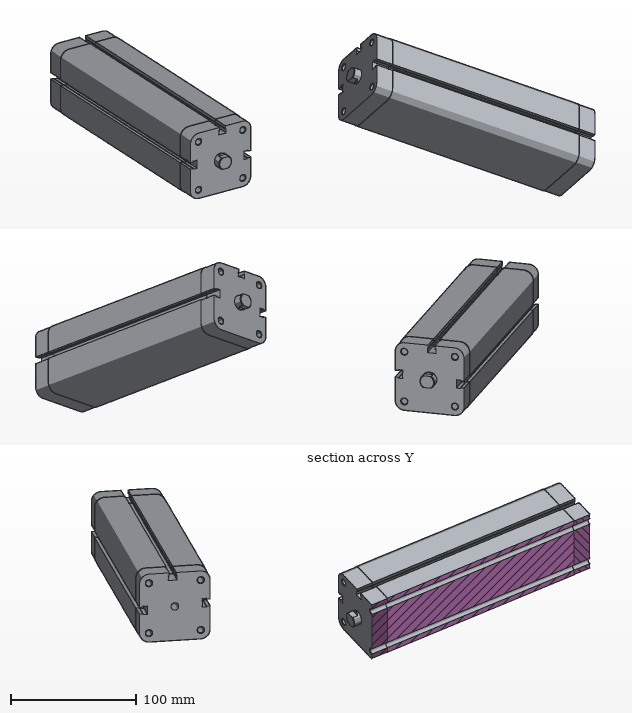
import cadquery as cq

total_length = 212.5
rod_reach = 7.0
cap_length = 14.9
body_length = total_length - rod_reach
barrel_length = body_length - 2 * cap_length

barrel_width = 58.0
cap_width = 57.4
corner_radius = 8.3
cap_corner_radius = corner_radius - (barrel_width - cap_width) / 2

slot_offset = 1.7
slot_step = 25.7
slot_undercut = 0.6
barrel_slot_width = 5.3
barrel_slot_floor = 22.7
cap_slot_width = 5.7
cap_slot_floor = 22.3
slot_turns = (0, 90, 180)

bolt_offset = 21.0
bolt_diameter = 5.0
bolt_chamfer = 0.5
center_hole_diameter = 6.2

rod_diameter = 12.1
rod_flat_width = 10.0
rod_collar_length = 1.3
rod_shoulder_length = 0.8
rod_chamfer = 0.53


def slot_cutter(turn, mouth_width, floor):
    """Full-length stepped slot in the -Y side, turned about X to another side."""
    side = barrel_width / 2
    mouth_half = mouth_width / 2
    floor_half = mouth_half + slot_undercut
    outline = [
        (-side, mouth_half),
        (-slot_step, mouth_half),
        (-slot_step, floor_half),
        (-floor, floor_half),
        (-floor, -floor_half),
        (-slot_step, -floor_half),
        (-slot_step, -mouth_half),
        (-side, -mouth_half),
    ]
    slot = cq.Workplane("YZ", origin=(0, 0, slot_offset)).polyline(outline).close().extrude(body_length)
    return slot.rotate((0, 0, 0), (1, 0, 0), -turn)


def profile_block(start, length, width, radius, slot_width, slot_floor):
    """Rounded square block with the side slots and the four bolt holes."""
    block = (
        cq.Workplane("YZ", origin=(start, 0, 0))
        .rect(width, width)
        .extrude(length)
        .edges("|X")
        .fillet(radius)
    )
    for turn in slot_turns:
        block = block.cut(slot_cutter(turn, slot_width, slot_floor))
    bolts = (
        cq.Workplane("YZ", origin=(start, 0, 0))
        .rect(2 * bolt_offset, 2 * bolt_offset, forConstruction=True)
        .vertices()
        .circle(bolt_diameter / 2)
        .extrude(length)
    )
    return block.cut(bolts)


def make_barrel():
    """Barrel between the two caps."""
    return profile_block(
        cap_length, barrel_length, barrel_width, corner_radius, barrel_slot_width, barrel_slot_floor
    )


def make_cap(start, outer_face):
    """End cap whose bolt holes are chamfered on the outer face."""
    cap = profile_block(
        start, cap_length, cap_width, cap_corner_radius, cap_slot_width, cap_slot_floor
    )
    bolt_rims = cap.faces(outer_face).edges(cq.selectors.RadiusNthSelector(0))
    return bolt_rims.chamfer(bolt_chamfer)


def make_rear_cap():
    """Rear cap with a centre hole that ends at the barrel."""
    center_hole = cq.Workplane("YZ").circle(center_hole_diameter / 2).extrude(cap_length)
    return make_cap(0, "<X").cut(center_hole)


def make_rod():
    """Rod end standing on the front cap: a round collar, then two flats with slanted shoulders."""
    round_bar = (
        cq.Workplane("YZ", origin=(body_length, 0, 0))
        .circle(rod_diameter / 2)
        .extrude(rod_reach)
        .faces(">X")
        .chamfer(rod_chamfer)
    )
    collar_end = body_length + rod_collar_length
    flat_start = collar_end + rod_shoulder_length
    rod_radius = rod_diameter / 2
    flat_half = rod_flat_width / 2
    side_profile = (
        cq.Workplane("XZ")
        .moveTo(body_length, rod_radius)
        .lineTo(collar_end, rod_radius)
        .lineTo(flat_start, flat_half)
        .lineTo(total_length, flat_half)
        .lineTo(total_length, -flat_half)
        .lineTo(flat_start, -flat_half)
        .lineTo(collar_end, -rod_radius)
        .lineTo(body_length, -rod_radius)
        .close()
        .extrude(rod_radius, both=True)
    )
    return round_bar.intersect(side_profile)


barrel = make_barrel()
rear_cap = make_rear_cap()
front_cap = make_cap(body_length - cap_length, ">X")
rod = make_rod()

result = cq.Compound.makeCompound([barrel.val(), rear_cap.val(), front_cap.val(), rod.val()])